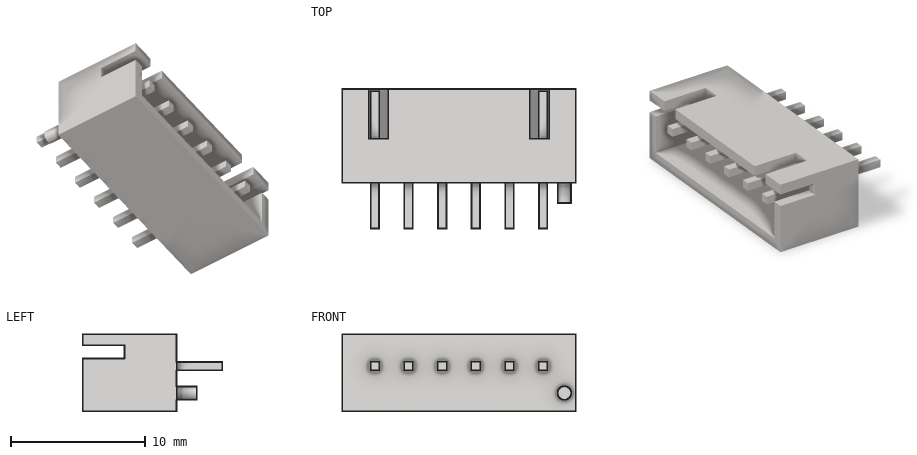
import cadquery as cq

length = 17.4
depth = 7.0
height = 5.75
wall = 0.82
floor_thickness = 2.0

notch_inset = 1.97
notch_width = 1.46
notch_depth = 3.7
side_slot_depth = 3.11
side_slot_height = 0.97
side_slot_drop = 0.84

pin_count = 6
pin_pitch = 2.5
pin_size = 0.65
pin_tail = 3.41
pin_mouth_gap = 0.2
pin_axis_drop = 2.38

peg_diameter = 1.01
peg_length = 1.51
peg_side_inset = 0.85
peg_axis_drop = 4.38


def block(x_start, x_size, y_start, y_size, z_start, z_size):
    """Box placed by its lowest corner."""
    return (
        cq.Workplane("XY")
        .box(x_size, y_size, z_size, centered=False)
        .translate((x_start, y_start, z_start))
    )


def make_housing():
    housing = block(0, length, 0, depth, 0, height)
    cavity = block(
        wall, length - 2 * wall,
        floor_thickness, depth - floor_thickness,
        wall, height - 2 * wall,
    )
    return housing.cut(cavity)


def cut_top_notches(housing):
    for x_start in (notch_inset, length - notch_inset - notch_width):
        notch = block(
            x_start, notch_width,
            depth - notch_depth, notch_depth,
            height - wall, wall,
        )
        housing = housing.cut(notch)
    return housing


def cut_side_slots(housing):
    slot_bottom = height - side_slot_drop - side_slot_height
    for x_start in (0, length - wall):
        slot = block(
            x_start, wall,
            depth - side_slot_depth, side_slot_depth,
            slot_bottom, side_slot_height,
        )
        housing = housing.cut(slot)
    return housing


def add_pins(housing):
    first_axis = (length - (pin_count - 1) * pin_pitch) / 2
    pin_length = pin_tail + depth - pin_mouth_gap
    pin_bottom = height - pin_axis_drop - pin_size / 2
    for index in range(pin_count):
        pin_axis = first_axis + index * pin_pitch
        pin = block(
            pin_axis - pin_size / 2, pin_size,
            -pin_tail, pin_length,
            pin_bottom, pin_size,
        )
        housing = housing.union(pin)
    return housing


def add_peg(housing):
    peg = (
        cq.Workplane("XZ")
        .center(length - peg_side_inset, height - peg_axis_drop)
        .circle(peg_diameter / 2)
        .extrude(peg_length)
    )
    return housing.union(peg)


housing = make_housing()
housing = cut_top_notches(housing)
housing = cut_side_slots(housing)
housing = add_pins(housing)
result = add_peg(housing)